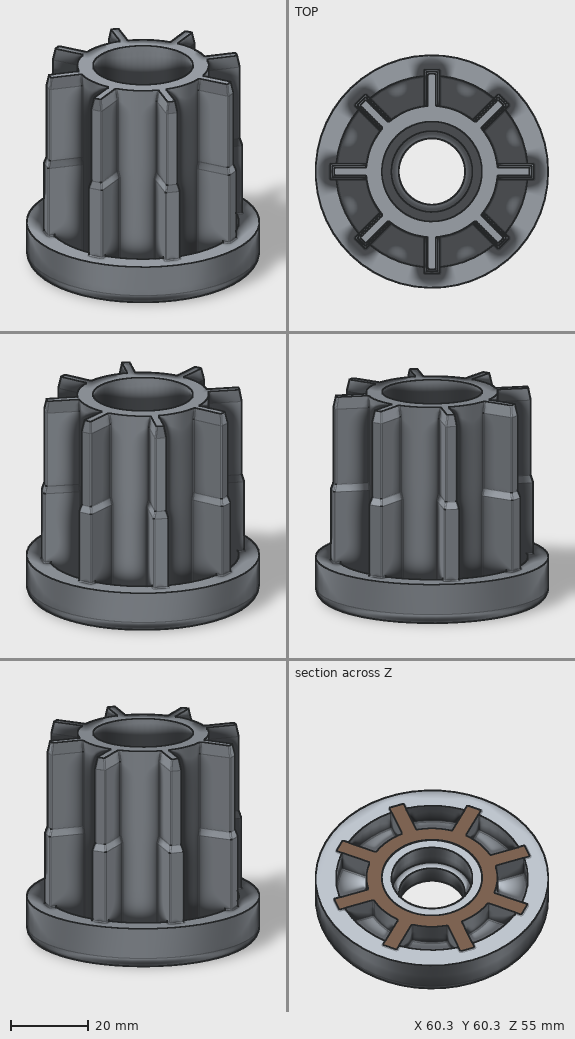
import cadquery as cq
import math

flange_radius = 30.15
flange_height = 11.0
flange_bottom_round = 3.0

recess_radius = 24.85
recess_floor = 5.0

total_height = 55.0
tube_radius = 17.0
bore_radius = 12.95
step_radius = 10.5
hole_radius = 8.55
bore_floor = flange_height
step_floor = recess_floor

rib_count = 8
rib_start = (tube_radius + bore_radius) / 2
shoulder_bottom = 30.0
shoulder_top = 31.9
tip_bottom = 52.0
lower_reach = 26.35
upper_reach = 25.8
tip_reach = 25.25
lower_half_width = 2.0
upper_half_width = 1.5
tip_half_width = 1.0

corner_round = 0.3
root_round = 0.3

tolerance = 0.0005


def cylinder(radius, bottom, top):
    return cq.Workplane("XY").workplane(offset=bottom).circle(radius).extrude(top - bottom)


def make_body():
    """Flange with its annular recess, and the tube, still solid inside."""
    flange = cylinder(flange_radius, 0, flange_height)
    flange = flange.faces("<Z").edges().fillet(flange_bottom_round)
    recess = cylinder(recess_radius, recess_floor, flange_height)
    return flange.cut(recess).union(cylinder(tube_radius, 0, total_height))


def rib_section(plane, half_width, reach):
    """Horizontal rib section along +X with rounded outer corners."""
    arc_inset = corner_round * (1 - math.sqrt(0.5))
    return (
        plane.moveTo(rib_start, -half_width)
        .lineTo(reach - corner_round, -half_width)
        .threePointArc((reach - arc_inset, arc_inset - half_width), (reach, corner_round - half_width))
        .lineTo(reach, half_width - corner_round)
        .threePointArc((reach - arc_inset, half_width - arc_inset), (reach - corner_round, half_width))
        .lineTo(rib_start, half_width)
        .close()
    )


def make_rib():
    """Rib along +X, starting inside the tube wall and standing on the recess floor."""
    levels = [
        (recess_floor, lower_half_width, lower_reach),
        (shoulder_bottom, lower_half_width, lower_reach),
        (shoulder_top, upper_half_width, upper_reach),
        (tip_bottom, upper_half_width, upper_reach),
        (total_height, tip_half_width, tip_reach),
    ]
    rib = cq.Workplane("XY")
    for lower, upper in zip(levels, levels[1:]):
        bottom, half_width, reach = lower
        top, top_half_width, top_reach = upper
        start = rib_section(cq.Workplane("XY").workplane(offset=bottom), half_width, reach)
        end = rib_section(start.workplane(offset=top - bottom), top_half_width, top_reach)
        rib = rib.union(end.loft(ruled=True, combine=False))
    return rib


def is_root_edge(edge):
    """True for the inside corners where ribs, tube, recess and flange top meet."""
    points = [edge.positionAt(fraction) for fraction in (0, 0.5, 1)]
    heights = [point.z for point in points]
    radii = [math.hypot(point.x, point.y) for point in points]

    def all_at(values, target):
        return all(abs(value - target) < tolerance for value in values)

    in_recess = tube_radius - tolerance < min(radii) < recess_radius
    at_rib_foot = tube_radius < max(radii) < flange_radius - tolerance and not all_at(radii, recess_radius)

    tube_corner = all_at(radii, tube_radius) and min(heights) < tip_bottom + tolerance
    floor_corner = all_at(heights, recess_floor) and in_recess
    wall_corner = all_at(radii, recess_radius) and not all_at(heights, flange_height)
    flange_top_corner = all_at(heights, flange_height) and at_rib_foot
    return tube_corner or floor_corner or wall_corner or flange_top_corner


part = make_body()
rib = make_rib()
for index in range(rib_count):
    part = part.union(rib.rotate((0, 0, 0), (0, 0, 1), index * 360 / rib_count))

for radius, floor in ((bore_radius, bore_floor), (step_radius, step_floor), (hole_radius, 0)):
    part = part.cut(cylinder(radius, floor, total_height))

root_edges = [edge for edge in part.edges().vals() if is_root_edge(edge)]
part = part.newObject(root_edges).fillet(root_round)

result = part